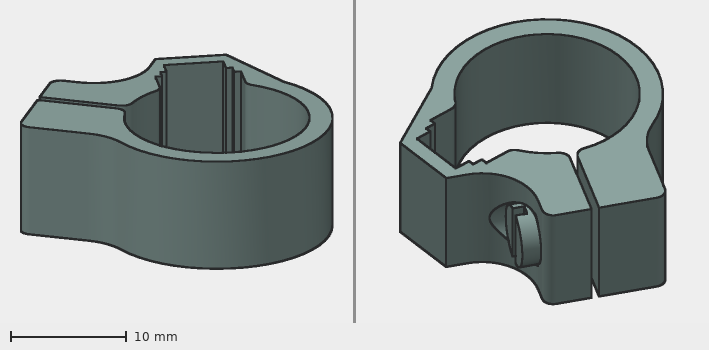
import cadquery as cq
import math

height = 10.0
outer_radius = 10.0
bore_radius = 8.0

ear_end_x = outer_radius - 26
upper_ear_y = 4.5
lower_ear_y = -6.5
half_gap = 0.35
corner_radius = 1.0
blend_radius = 5.0

pocket_tilt = 25
pocket_top = 12.5
pocket_steps = [(2.6, 11.0), (3.15, 10.0)]
mouth_half_width = 3.75
roof_half_width = 3.1
roof_radius = 14.0
roof_foot_angle = 19.4

screw_x = -11.99
shank_diameter = 3.0
head_diameter = 5.5
head_height = 1.7
counterbore_diameter = 5.8
slot_width = 1.0
slot_depth = 1.05


def from_pocket_axis(across, radial):
    """Convert pocket coordinates (across the axis, along the axis) to X and Y."""
    tilt = math.radians(pocket_tilt)
    x = across * math.cos(tilt) - radial * math.sin(tilt)
    y = across * math.sin(tilt) + radial * math.cos(tilt)
    return x, y


def extrude_outline(points):
    return cq.Workplane("XY").polyline(points).close().extrude(height / 2, both=True)


def make_cylinder(radius):
    return cq.Workplane("XY").circle(radius).extrude(height / 2, both=True)


def screw_cylinder(diameter, y_start, y_end):
    """Cylinder on the screw axis, from y_start up to y_end."""
    base = cq.Workplane("XZ", origin=(screw_x, y_start, 0))
    return base.circle(diameter / 2).extrude(y_start - y_end)


def make_lower_ear():
    """Ear block whose underside flows into the ring through a tangent arc."""
    arc_center_y = lower_ear_y - blend_radius
    center_distance = outer_radius + blend_radius
    arc_center_x = -math.sqrt(center_distance**2 - arc_center_y**2)
    ring_share = outer_radius / center_distance
    ring_tangent = (arc_center_x * ring_share, arc_center_y * ring_share)
    ring_direction = math.atan2(-arc_center_y, -arc_center_x)
    middle_angle = (math.pi / 2 + ring_direction) / 2
    arc_middle = (
        arc_center_x + blend_radius * math.cos(middle_angle),
        arc_center_y + blend_radius * math.sin(middle_angle),
    )
    return (
        cq.Workplane("XY")
        .moveTo(ear_end_x, 0)
        .lineTo(ear_end_x, lower_ear_y)
        .lineTo(arc_center_x, lower_ear_y)
        .threePointArc(arc_middle, ring_tangent)
        .lineTo(0, 0)
        .close()
        .extrude(height / 2, both=True)
    )


def make_upper_body():
    """Upper ear, concave flank and slanted roof over the pocket."""
    roof_left = from_pocket_axis(-roof_half_width, roof_radius)
    roof_right = from_pocket_axis(roof_half_width, roof_radius)
    wall_x = roof_left[0]
    arc_center_x = wall_x - blend_radius
    arc_center_y = upper_ear_y + blend_radius
    diagonal = blend_radius * math.sqrt(0.5)
    foot_angle = math.radians(roof_foot_angle)
    roof_foot = (outer_radius * math.sin(foot_angle), outer_radius * math.cos(foot_angle))
    return (
        cq.Workplane("XY")
        .moveTo(ear_end_x, 0)
        .lineTo(ear_end_x, upper_ear_y)
        .lineTo(arc_center_x, upper_ear_y)
        .threePointArc((arc_center_x + diagonal, arc_center_y - diagonal), (wall_x, arc_center_y))
        .lineTo(*roof_left)
        .lineTo(*roof_right)
        .lineTo(*roof_foot)
        .lineTo(0, 0)
        .close()
        .extrude(height / 2, both=True)
    )


def make_pocket():
    """Pocket that widens in steps from its top down to the bore."""
    right_side = []
    step_top = pocket_top
    for half_width, step_bottom in pocket_steps:
        right_side += [(half_width, step_top), (half_width, step_bottom)]
        step_top = step_bottom
    right_side += [(mouth_half_width, step_top), (mouth_half_width, 0)]
    left_side = [(-across, radial) for across, radial in reversed(right_side)]
    return extrude_outline([from_pocket_axis(*point) for point in right_side + left_side])


def vertical_edges_at(body, points):
    """Select the vertical edges standing at the given X, Y points."""
    reach = 0.05
    edges = body.edges(cq.selectors.BoxSelector((0, 0, 0), (0, 0, 0)))
    for x, y in points:
        box = cq.selectors.BoxSelector((x - reach, y - reach, -reach), (x + reach, y + reach, reach))
        edges = edges.add(body.edges("|Z").edges(box))
    return edges


def make_clamp():
    body = make_cylinder(outer_radius).union(make_lower_ear()).union(make_upper_body())
    body = body.cut(make_cylinder(bore_radius)).cut(make_pocket())
    gap = cq.Workplane("XY").box(-ear_end_x, 2 * half_gap, height)
    body = body.cut(gap.translate((ear_end_x / 2, 0, 0)))

    gap_mouth_x = -math.sqrt(bore_radius**2 - half_gap**2)
    pocket_mouth = math.sqrt(bore_radius**2 - mouth_half_width**2)
    rounded_corners = [
        (ear_end_x, upper_ear_y),
        (ear_end_x, lower_ear_y),
        (gap_mouth_x, half_gap),
        (gap_mouth_x, -half_gap),
        from_pocket_axis(-mouth_half_width, pocket_mouth),
        from_pocket_axis(mouth_half_width, pocket_mouth),
    ]
    body = vertical_edges_at(body, rounded_corners).fillet(corner_radius)
    return body.cut(screw_cylinder(counterbore_diameter, upper_ear_y, roof_radius))


def make_screw():
    head_top = upper_ear_y + head_height
    head = screw_cylinder(head_diameter, upper_ear_y, head_top)
    slot = cq.Workplane("XY").box(slot_width, slot_depth, head_diameter)
    head = head.cut(slot.translate((screw_x, head_top - slot_depth / 2, 0)))
    return head.union(screw_cylinder(shank_diameter, lower_ear_y / 2, upper_ear_y))


result = make_clamp().union(make_screw())